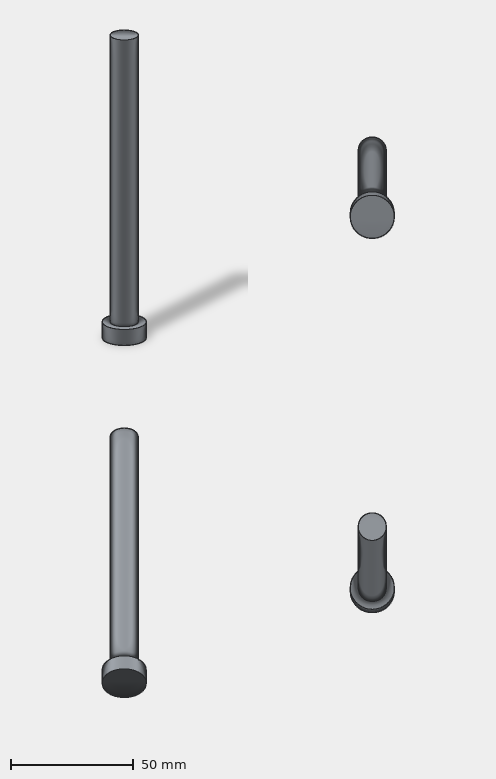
import cadquery as cq

overall_length = 132.0
head_diameter = 18.0
head_height = 7.0
shank_diameter = 11.5
shank_length = overall_length - head_height


def make_head():
    """Disc-shaped head, resting on Z = 0."""
    return cq.Workplane("XY").circle(head_diameter / 2).extrude(head_height)


def make_shank():
    """Straight round shank rising from the top of the head."""
    base = cq.Workplane("XY").workplane(offset=head_height)
    return base.circle(shank_diameter / 2).extrude(shank_length)


result = make_head().union(make_shank())